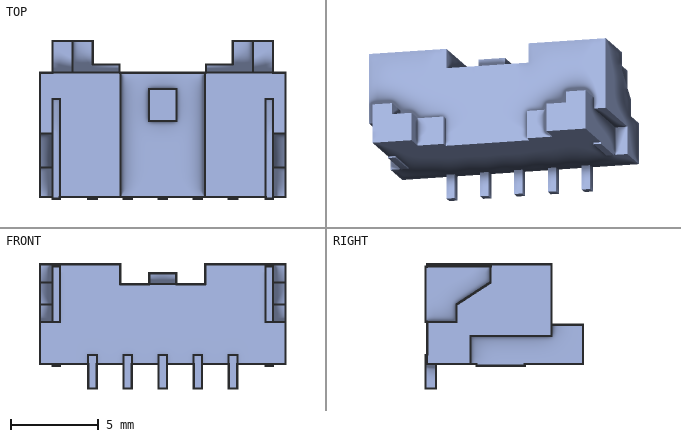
import cadquery as cq

width = 14.0
depth = 7.1
height = 5.7
contact_overhang = 0.1

notch_width = 4.85
notch_depth = 1.13
key_width = 1.55
key_length = 1.83
key_height = 0.62
key_setback = 0.94

plate_inset = 0.7
plate_thickness = 0.43
plate_setback = 1.51
plate_recess = 0.14
plate_foot_length = 2.77

window_rear_length = 3.63
window_front_length = 1.7
window_rear_depth = 1.04
window_slope_depth = 2.3
window_depth = 3.29

undercut_length = 4.62
undercut_height = 1.61

overall_depth = 9.0
lug_length = overall_depth - depth - contact_overhang
lug_height = 2.25
lug_inner_height = undercut_height
lug_width = 2.31
lug_outer_width = lug_width / 2
ledge_width = 1.53
ledge_length = 0.48

pin_count = 5
pin_pitch = 2.0
pin_width = 0.49
pin_thickness = 0.62
pin_drop = 1.4
pin_rise = 0.52

end_x = width / 2
plate_x = end_x - plate_inset


def block(x_range, y_range, z_range):
    """Axis-aligned box between pairs of limits."""
    limits = (x_range, y_range, z_range)
    sizes = [high - low for low, high in limits]
    corner = tuple(low for low, high in limits)
    return cq.Workplane("XY").box(*sizes, centered=False).translate(corner)


def end_prism(points, x_low, x_high):
    """Extrude a (Y, Z) outline along X."""
    return cq.Workplane("YZ", origin=(x_low, 0, 0)).polyline(points).close().extrude(x_high - x_low)


def both_ends(shape):
    """Join a +X feature with its mirror image at the -X end."""
    return shape.union(shape.mirror("YZ"))


def housing():
    body = block((-end_x, end_x), (0, depth), (0, height))
    floor_z = height - notch_depth
    notch = block((-notch_width / 2, notch_width / 2), (0, depth), (floor_z, height))
    key_rear = depth - key_setback
    key = block(
        (-key_width / 2, key_width / 2),
        (key_rear - key_length, key_rear),
        (floor_z, floor_z + key_height),
    )
    return body.cut(notch).union(key)


def plate_window():
    outline = [
        (0, height),
        (window_rear_length, height),
        (window_rear_length, height - window_rear_depth),
        (window_front_length, height - window_slope_depth),
        (window_front_length, height - window_depth),
        (0, height - window_depth),
    ]
    return end_prism(outline, plate_x, end_x)


def plate_slot():
    """Gap above the plate, open at the top face."""
    return block(
        (plate_x - plate_thickness, plate_x),
        (0, depth - plate_setback),
        (height - plate_recess, height),
    )


def solder_plate():
    rear = depth - plate_setback
    foot_front = rear - plate_foot_length
    outline = [
        (-contact_overhang, height - plate_recess),
        (rear, height - plate_recess),
        (rear, -contact_overhang),
        (foot_front, -contact_overhang),
        (foot_front, height - window_depth),
        (-contact_overhang, height - window_depth),
    ]
    return end_prism(outline, plate_x - plate_thickness, plate_x)


def undercut():
    return block((plate_x, end_x), (depth - undercut_length, depth), (0, undercut_height))


def rear_lug():
    """Tall outer lug, then a lower inner lug that ends in a short ledge."""
    step_x = plate_x - lug_outer_width
    inner_x = plate_x - lug_width
    outer = block((step_x, plate_x), (depth, depth + lug_length), (0, lug_height))
    inner = block((inner_x, step_x), (depth, depth + lug_length), (0, lug_inner_height))
    ledge = block((inner_x - ledge_width, inner_x), (depth, depth + ledge_length), (0, lug_inner_height))
    return outer.union(inner).union(ledge)


def pins():
    row = cq.Workplane("XY")
    for index in range(pin_count):
        x = (index - (pin_count - 1) / 2) * pin_pitch
        row = row.union(
            block(
                (x - pin_width / 2, x + pin_width / 2),
                (-contact_overhang, pin_thickness - contact_overhang),
                (-pin_drop, pin_rise),
            )
        )
    return row


result = housing()
for pocket in (plate_window(), plate_slot(), undercut()):
    result = result.cut(both_ends(pocket))
for addition in (solder_plate(), rear_lug()):
    result = result.union(both_ends(addition))
result = result.union(pins())